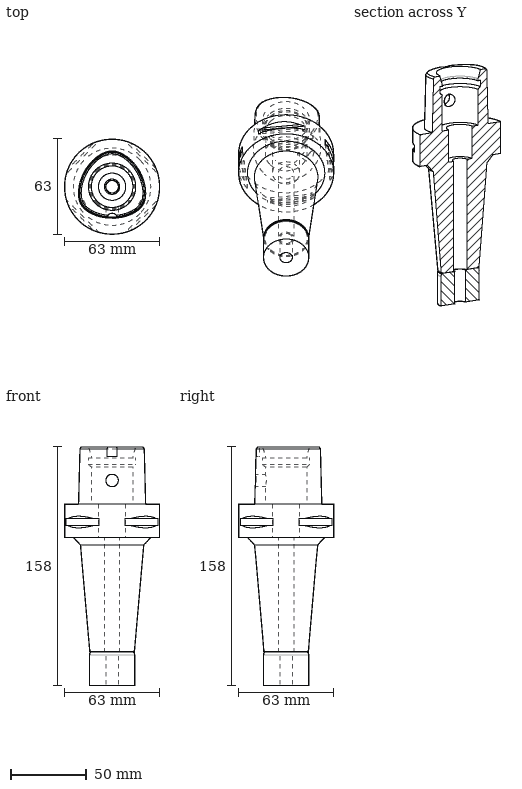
import cadquery as cq
import math

top_z = 158.0
flange_top_z = 120.1
flange_bottom_z = 98.0
shank_top_z = 93.0
shank_bottom_z = 22.8
nut_top_z = 22.1
nut_shoulder_z = 20.2

flange_radius = 31.52
collar_radius = 25.6
shank_top_radius = 21.0
shank_bottom_radius = 14.9
neck_radius = 14.0
nut_radius = 15.0
nut_top_radius = 14.7

coupling_radius = 22.3
lobe_offset = 1.5
taper_per_length = 0.025
rim_chamfer_height = 1.5
rim_chamfer_width = 1.0
profile_points = 72

mouth_radius = 15.6
bore_radius = 13.7
mouth_cone_depth = 6.2
lip_depth = 7.6
groove_radius = 15.5
groove_bottom_depth = 11.7
bore_bottom_z = flange_top_z
screw_bore_radius = 9.0
screw_bore_bottom_z = flange_bottom_z
coolant_radius = 5.0
nut_hole_radius = 4.1

notch_radius = 3.6
notch_depth = 6.3
notch_center_y = -21.2
cross_hole_radius = 4.1
cross_hole_z = 135.7

slot_count = 4
slot_start_angle = 45.0
slot_floor_distance = 27.5
slot_wall_distance = 29.0
slot_floor_height = 4.5
slot_mouth_height = 7.7
slot_center_z = 108.2


def lobed_wire(radius, z):
    """Constant-width closed curve with three lobes, one of them toward +Y."""
    points = []
    for i in range(profile_points):
        angle = 2 * math.pi * i / profile_points
        lobe_angle = 3 * (angle - math.pi / 2)
        support = radius + lobe_offset * math.cos(lobe_angle)
        slope = -3 * lobe_offset * math.sin(lobe_angle)
        x = support * math.cos(angle) - slope * math.sin(angle)
        y = support * math.sin(angle) + slope * math.cos(angle)
        points.append(cq.Vector(x, y, z))
    return cq.Wire.assembleEdges([cq.Edge.makeSpline(points, periodic=True)])


def make_coupling():
    """Tapered lobed coupling with a chamfered top rim."""
    chamfer_z = top_z - rim_chamfer_height
    chamfer_radius = coupling_radius - taper_per_length * (chamfer_z - flange_top_z)
    base = lobed_wire(coupling_radius, flange_top_z)
    shoulder = lobed_wire(chamfer_radius, chamfer_z)
    rim = lobed_wire(chamfer_radius - rim_chamfer_width, top_z)
    taper = cq.Solid.makeLoft([base, shoulder], True)
    chamfer = cq.Solid.makeLoft([shoulder, rim], True)
    return cq.Workplane(taper).union(cq.Workplane(chamfer))


def revolve_profile(points):
    """Turn an outline of (radius, z) points about the Z axis."""
    return cq.Workplane("XZ").polyline(points).close().revolve(360, (0, 0), (0, 1))


def make_turned_body():
    """Flange, collar, tapered shank and the short neck that meets the nut."""
    return revolve_profile([
        (0, flange_top_z),
        (flange_radius, flange_top_z),
        (flange_radius, flange_bottom_z),
        (collar_radius, flange_bottom_z),
        (shank_top_radius, shank_top_z),
        (shank_bottom_radius, shank_bottom_z),
        (neck_radius, shank_bottom_z),
        (neck_radius, nut_top_z),
        (0, nut_top_z),
    ])


def make_bore():
    """Stepped bore with a conical mouth and an internal groove."""
    groove_bottom_z = top_z - groove_bottom_depth
    groove_cone_height = groove_radius - bore_radius
    return revolve_profile([
        (0, top_z),
        (mouth_radius, top_z),
        (bore_radius, top_z - mouth_cone_depth),
        (bore_radius, top_z - lip_depth),
        (groove_radius, top_z - lip_depth),
        (groove_radius, groove_bottom_z),
        (bore_radius, groove_bottom_z - groove_cone_height),
        (bore_radius, bore_bottom_z),
        (screw_bore_radius, bore_bottom_z),
        (screw_bore_radius, screw_bore_bottom_z),
        (coolant_radius, screw_bore_bottom_z),
        (coolant_radius, nut_top_z),
        (0, nut_top_z),
    ])


def make_key_notch():
    """Round-backed notch cut down from the rim."""
    return (
        cq.Workplane("XY", origin=(0, notch_center_y, top_z))
        .circle(notch_radius)
        .extrude(-notch_depth)
    )


def make_cross_hole():
    """Radial hole from the -Y face into the bore."""
    return (
        cq.Workplane("XZ", origin=(0, 0, cross_hole_z))
        .circle(cross_hole_radius)
        .extrude(flange_radius)
    )


def make_gripper_slot(angle):
    """Straight slot with a flat floor, straight walls and flared sides at the mouth."""
    half_floor = slot_floor_height / 2
    half_mouth = slot_mouth_height / 2
    outline = [
        (slot_floor_distance, slot_center_z - half_floor),
        (slot_wall_distance, slot_center_z - half_floor),
        (flange_radius, slot_center_z - half_mouth),
        (flange_radius, slot_center_z + half_mouth),
        (slot_wall_distance, slot_center_z + half_floor),
        (slot_floor_distance, slot_center_z + half_floor),
    ]
    slot = cq.Workplane("XZ").polyline(outline).close().extrude(flange_radius, both=True)
    return slot.rotate((0, 0, 0), (0, 0, 1), angle)


def make_holder():
    """Holder: coupling, flange and shank in one piece."""
    holder = make_turned_body().union(make_coupling())
    holder = holder.cut(make_bore()).cut(make_key_notch()).cut(make_cross_hole())
    for i in range(slot_count):
        holder = holder.cut(make_gripper_slot(slot_start_angle + i * 360 / slot_count))
    return holder


def make_nut():
    """Clamping nut below the neck, with a slight top taper and a through hole."""
    return revolve_profile([
        (nut_hole_radius, 0),
        (nut_radius, 0),
        (nut_radius, nut_shoulder_z),
        (nut_top_radius, nut_top_z),
        (nut_hole_radius, nut_top_z),
    ])


holder = make_holder()
nut = make_nut()
result = cq.Compound.makeCompound([holder.solids().val(), nut.val()])